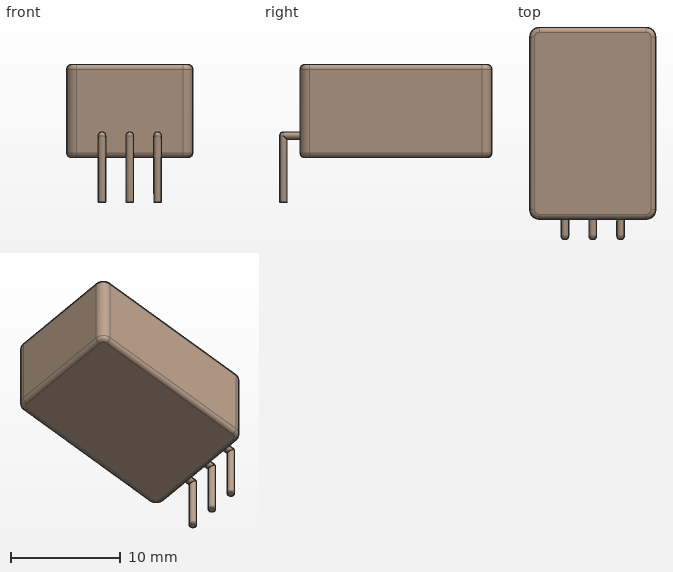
import cadquery as cq

body_width = 11.5
body_depth = 17.5
body_height = 8.5
corner_radius = 0.89
rim_radius = 0.45

overall_depth = 19.35
overall_height = 12.6
pin_diameter = 0.7
pin_radius = pin_diameter / 2
pin_pitch = 2.53
pin_count = 3
pin_exit_height = 2.0
pin_embed = 0.39
tip_round = 0.12

front_face_y = -body_depth / 2
pin_drop_y = front_face_y - (overall_depth - body_depth) + pin_radius
pin_bottom_z = body_height - overall_height


def make_body():
    """Block standing on Z = 0 with rounded corners and rims."""
    block = cq.Workplane("XY").box(body_width, body_depth, body_height, centered=(True, True, False))
    block = block.edges("|Z").fillet(corner_radius)
    return block.faces("<Z or >Z").edges().fillet(rim_radius)


def make_pin(x):
    """Right-angle pin: a horizontal lead, a ball at the bend and a vertical leg."""
    bend = cq.Workplane("XY", origin=(x, pin_drop_y, pin_exit_height))
    lead_length = front_face_y + pin_embed - pin_drop_y
    leg_length = pin_exit_height - pin_bottom_z
    lead = cq.Workplane("XZ", origin=(x, pin_drop_y, pin_exit_height)).circle(pin_radius).extrude(-lead_length)
    leg = bend.circle(pin_radius).extrude(-leg_length).faces("<Z").edges().fillet(tip_round)
    return leg.union(lead).union(bend.sphere(pin_radius))


result = make_body()
for index in range(pin_count):
    pin_x = (index - (pin_count - 1) / 2) * pin_pitch
    result = result.union(make_pin(pin_x))